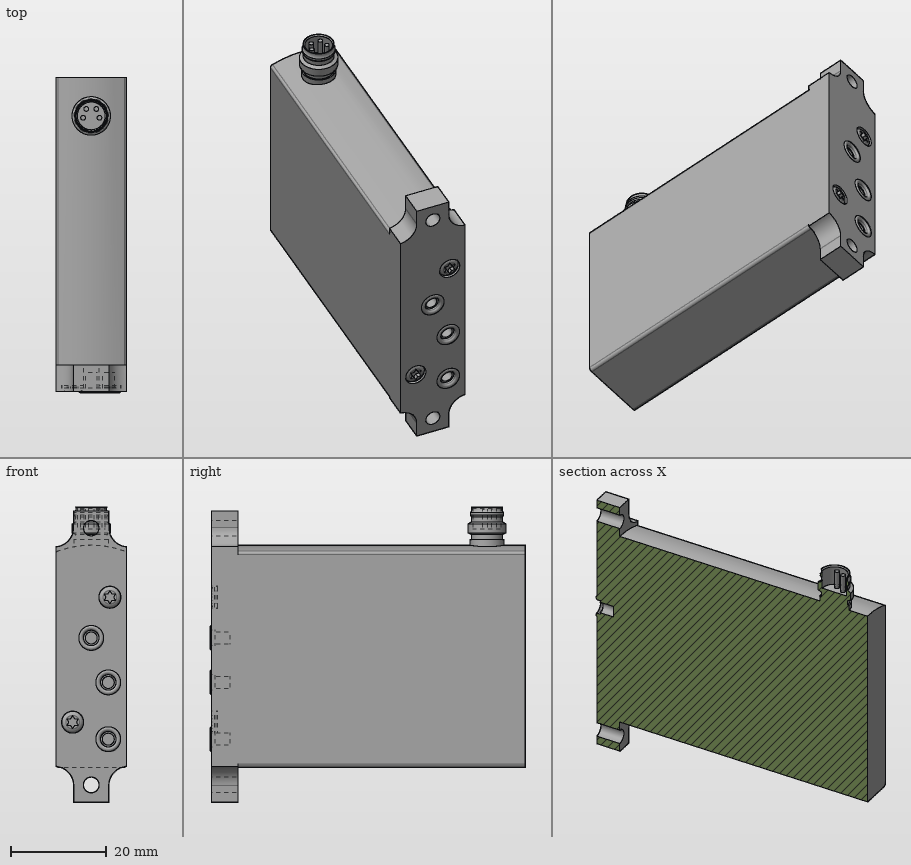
import cadquery as cq
import math

width = 14.8
length = 65.55
body_bottom = -23.15
dome_crest = 23.2
dome_radius = 20.4
edge_radius = 0.7

flange_thickness = 5.6
ear_top = 30.4
ear_half_width = 3.7
ear_corner_radius = 4.0
ear_straight = 3.5
ear_hole_diameter = 3.2
ear_hole_height = 26.8

port_places = [(0, 3.9), (3.55, -5.4), (3.55, -17.25)]
ring_outer_diameter = 5.3
ring_section_radius = 0.5
ring_proud = 0.25
port_mouth_depth = 0.8
port_bore_diameter = 2.5
port_bore_depth = 3.95

screw_places = [(3.9, 12.4), (-3.9, -13.7)]
screw_recess_diameter = 4.6
screw_recess_depth = 1.3
screw_head_diameter = 4.55
screw_flat_diameter = 2.8
screw_rim_depth = 0.7
screw_dome_rise = 0.2
star_points = 6
star_outer_diameter = 2.7
star_inner_diameter = 1.65
star_depth = 1.0

connector_from_back = 8.0
connector_top = 31.2
barrel_diameter = 6.5
waist_diameter = 6.4
snap_ring_diameter = 6.9
collar_diameter = 8.0
base_diameter = 7.2
waist_depth = 0.4
snap_ring_start = 1.2
snap_ring_end = 1.7
snap_ring_slope = 0.3
collar_start = 3.1
collar_full = 3.55
collar_end = 5.4
collar_bottom = 5.7
base_start = 6.8
base_sink = 0.8
socket_diameter = 5.8
socket_chamfer = 0.25
socket_depth = 4.6
pin_diameter = 1.0
pin_setback = 0.5
pin_places = [(-1.05, 1.45), (1.05, 1.45), (-1.7, -0.4), (1.7, -0.4)]


def front_plane(x, z, depth=0.0):
    """Work plane at the given depth behind the front face, its normal pointing forward."""
    return cq.Workplane(cq.Plane(origin=(x, depth, z), xDir=(1, 0, 0), normal=(0, -1, 0)))


def front_cylinder(x, z, diameter, depth):
    return front_plane(x, z, depth).circle(diameter / 2).extrude(depth)


def make_housing():
    half_width = width / 2
    dome_edge = dome_crest - dome_radius + math.sqrt(dome_radius**2 - half_width**2)
    outline = (
        front_plane(0, 0, length)
        .moveTo(-half_width, body_bottom)
        .lineTo(half_width, body_bottom)
        .lineTo(half_width, dome_edge)
        .threePointArc((0, dome_crest), (-half_width, dome_edge))
        .close()
    )
    housing = outline.extrude(length - flange_thickness)
    return housing.edges("|Y").fillet(edge_radius)


def make_flange():
    plate = front_plane(0, 0, flange_thickness).rect(width, 2 * ear_top).extrude(flange_thickness)
    scoop_x = ear_half_width + ear_corner_radius
    scoop_z = ear_top - ear_straight
    for side in (-1, 1):
        for end in (-1, 1):
            scoop = front_cylinder(side * scoop_x, end * scoop_z, 2 * ear_corner_radius, flange_thickness)
            slot = (
                front_plane(side * scoop_x, end * (scoop_z + ear_straight / 2), flange_thickness)
                .rect(2 * ear_corner_radius, ear_straight)
                .extrude(flange_thickness)
            )
            plate = plate.cut(scoop).cut(slot)
    for end in (-1, 1):
        plate = plate.cut(front_cylinder(0, end * ear_hole_height, ear_hole_diameter, flange_thickness))
    return plate


def add_port(body, x, z):
    ring_path_radius = ring_outer_diameter / 2 - ring_section_radius
    seat_depth = ring_section_radius - ring_proud
    mouth_diameter = ring_outer_diameter - 4 * ring_section_radius
    ring_centre = cq.Vector(x, seat_depth, z)
    ring = cq.Solid.makeTorus(ring_path_radius, ring_section_radius, ring_centre, cq.Vector(0, 1, 0))
    body = body.cut(front_cylinder(x, z, 2 * ring_path_radius, seat_depth))
    body = body.cut(front_cylinder(x, z, mouth_diameter, port_mouth_depth))
    body = body.cut(front_cylinder(x, z, port_bore_diameter, port_bore_depth))
    return body.union(cq.Workplane(ring))


def add_screw(body, x, z):
    head_radius = screw_head_diameter / 2
    flat_radius = screw_flat_diameter / 2
    middle_radius = (head_radius + flat_radius) / 2
    middle_depth = screw_rim_depth / 2 - screw_dome_rise
    head = (
        front_plane(x, z)
        .transformed(rotate=(90, 0, 0))
        .lineTo(flat_radius, 0)
        .threePointArc((middle_radius, -middle_depth), (head_radius, -screw_rim_depth))
        .lineTo(head_radius, -screw_recess_depth)
        .lineTo(0, -screw_recess_depth)
        .close()
        .revolve(360, (0, 0, 0), (0, 1, 0))
    )
    corners = []
    for index in range(2 * star_points):
        radius = (star_inner_diameter if index % 2 else star_outer_diameter) / 2
        angle = math.pi / 2 + index * math.pi / star_points
        corners.append((radius * math.cos(angle), radius * math.sin(angle)))
    star = front_plane(x, z, star_depth).polyline(corners).close().extrude(star_depth)
    recess = front_cylinder(x, z, screw_recess_diameter, screw_recess_depth)
    return body.cut(recess).union(head).cut(star)


def make_connector():
    centre_y = length - connector_from_back
    barrel = barrel_diameter / 2
    snap_ring = snap_ring_diameter / 2
    collar = collar_diameter / 2
    base = base_diameter / 2
    base_end = connector_top - dome_crest + base_sink
    steps_below_flare = [
        (snap_ring, snap_ring_end),
        (barrel, snap_ring_end + snap_ring_slope),
        (barrel, collar_start),
        (collar, collar_full),
        (collar, collar_end),
        (barrel, collar_bottom),
        (barrel, base_start),
        (base, base_start),
        (base, base_end),
        (0, base_end),
    ]
    section = (
        cq.Workplane("XZ", origin=(0, centre_y, connector_top))
        .lineTo(barrel, 0)
        .threePointArc((waist_diameter / 2, -waist_depth), (snap_ring, -snap_ring_start))
    )
    for radius, depth in steps_below_flare:
        section = section.lineTo(radius, -depth)
    shell = section.close().revolve(360, (0, 0, 0), (0, 1, 0))
    floor = cq.Workplane("XY", origin=(0, centre_y, connector_top - socket_depth))
    socket = floor.circle(socket_diameter / 2).extrude(socket_depth)
    pins = floor.pushPoints(pin_places).circle(pin_diameter / 2).extrude(socket_depth - pin_setback)
    hollow_shell = shell.cut(socket)
    socket_rim = hollow_shell.faces(">Z").edges(cq.selectors.RadiusNthSelector(0))
    return socket_rim.chamfer(socket_chamfer).union(pins)


result = make_housing().union(make_flange()).union(make_connector())
for port_x, port_z in port_places:
    result = add_port(result, port_x, port_z)
for screw_x, screw_z in screw_places:
    result = add_screw(result, screw_x, screw_z)